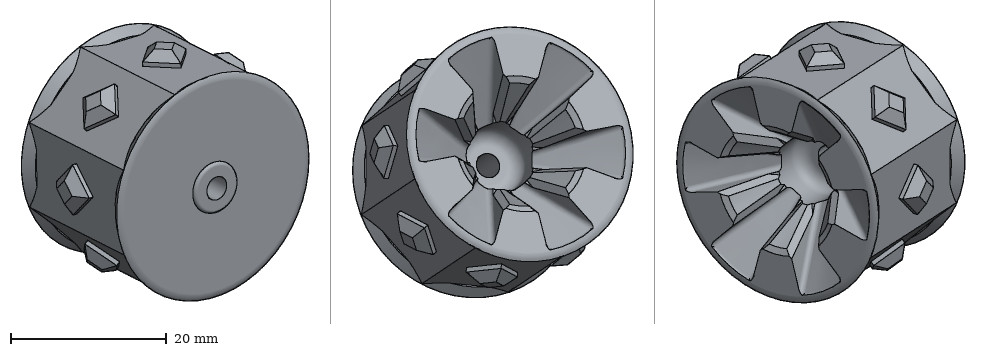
import cadquery as cq
import math

outer_size = 32.52
total_length = 21.53
boss_height = 0.5
body_length = total_length - boss_height

side_count = 8
tread_apothem = 14.28
tread_turn = 0.5
tread_corner_radius = tread_apothem / math.cos(math.pi / side_count)

stud_half_diagonal = 3.5
stud_top_half_diagonal = 1.63
stud_wall_radius = 14.9
stud_root_depth = 0.33
turn = math.radians(tread_turn)
stud_top_radius = (outer_size / 2 - stud_top_half_diagonal * math.sin(turn)) / math.cos(turn)

rim_radius = 15.5
rim_face_radius = 14.55
rim_lip_depth = 0.35
flare_inner_radius = 14.5
flare_depth = 2.0

cup_radius = 9.0 / 2
cup_floor_radius = 2.65
cup_fillet = cup_radius - cup_floor_radius
cup_depth = 12.35
bore_diameter = 3.2
boss_radius = 3.5

spoke_count = 6
sector_angle = 180.0 / spoke_count
pocket_outer_radius = 14.37
pocket_wall_depth = 0.1
pocket_cup_depth = 8.15
pocket_fillet = 0.65
pocket_slope = (pocket_cup_depth - pocket_wall_depth) / (pocket_outer_radius - cup_radius)

spoke_front_radius = 8.42
spoke_cup_depth = 6.75
spoke_front_chamfer = 0.55
spoke_side_chamfer = 0.78
spoke_slope = spoke_cup_depth / (spoke_front_radius - cup_radius)

cut_overlap = 0.98


def turned(shape, degrees):
    return shape.rotate((0, 0, 0), (1, 0, 0), degrees)


def around_axis(shape, count):
    """Copies of a shape evenly spaced about the X axis."""
    return [turned(shape, i * 360.0 / count) for i in range(count)]


def sector(points):
    """Revolve (x, radius) points about X through one sector centred on +Y."""
    profile = cq.Workplane("XY").polyline(points).close()
    wedge = profile.revolve(sector_angle, (0, 0, 0), (1, 0, 0))
    return turned(wedge, -sector_angle / 2)


def make_tread():
    prism = (
        cq.Workplane("YZ", origin=(rim_lip_depth, 0, 0))
        .polygon(side_count, 2 * tread_corner_radius)
        .extrude(body_length - 2 * rim_lip_depth)
    )
    return turned(prism, 180.0 / side_count + tread_turn)


def make_rim():
    """Flared rim of the open face; its lip curves smoothly out of the flat face."""
    return (
        cq.Workplane("XY")
        .lineTo(0, rim_face_radius)
        .tangentArcPoint((rim_lip_depth, rim_radius), relative=False)
        .lineTo(flare_depth, flare_inner_radius)
        .lineTo(flare_depth, 0)
        .close()
        .revolve(360, (0, 0, 0), (1, 0, 0))
    )


def make_stud():
    base_side = stud_half_diagonal * math.sqrt(2)
    top_side = stud_top_half_diagonal * math.sqrt(2)
    root_radius = tread_apothem - stud_root_depth
    diamond = cq.Workplane("XY", origin=(body_length / 2, 0, 0)).transformed(rotate=(0, 0, 45))
    wall = (
        diamond.workplane(offset=root_radius)
        .rect(base_side, base_side)
        .extrude(stud_wall_radius - root_radius)
    )
    cap = (
        diamond.workplane(offset=stud_wall_radius)
        .rect(base_side, base_side)
        .workplane(offset=stud_top_radius - stud_wall_radius)
        .rect(top_side, top_side)
        .loft(ruled=True)
    )
    return turned(wall.union(cap), tread_turn)


def make_pocket():
    """Cutting shape of one pocket, filleted where its cone meets the walls."""
    inner_radius = cup_radius - cut_overlap
    inner_depth = pocket_cup_depth + cut_overlap * pocket_slope
    pocket = sector([
        (-cut_overlap, inner_radius),
        (inner_depth, inner_radius),
        (pocket_wall_depth, pocket_outer_radius),
        (-cut_overlap, pocket_outer_radius),
    ])
    cone_edges = pocket.faces("%CONE").edges("not >X").vals()
    return pocket.newObject(cone_edges).fillet(pocket_fillet)


def make_spoke():
    """Solid wedge of one spoke, chamfered around its conical inner face."""
    inner_radius = cup_radius - cut_overlap
    outer_radius = pocket_outer_radius + cut_overlap
    spoke = sector([
        (0, spoke_front_radius),
        (spoke_cup_depth + cut_overlap * spoke_slope, inner_radius),
        (cup_depth, inner_radius),
        (cup_depth, outer_radius),
        (0, outer_radius),
    ])
    spoke = spoke.faces("%CONE").edges("not %CIRCLE").chamfer(spoke_side_chamfer)
    return spoke.faces("%CONE").edges("<X").chamfer(spoke_front_chamfer)


def make_spoke_gap():
    """Cutting shape for the space inside one spoke, with a floor level with the pocket fillets."""
    inner_radius = cup_radius - cut_overlap
    floor_rise = pocket_fillet * math.hypot(1, pocket_slope)
    floor_cup_depth = pocket_cup_depth - floor_rise
    floor_front_radius = cup_radius + floor_cup_depth / pocket_slope
    room = sector([
        (0, inner_radius),
        (floor_cup_depth + cut_overlap * pocket_slope, inner_radius),
        (0, floor_front_radius),
    ])
    return room.cut(make_spoke())


def make_cup():
    cup = cq.Workplane("YZ").circle(cup_radius).extrude(cup_depth)
    return cup.faces(">X").edges().fillet(cup_fillet)


def make_boss():
    """Round boss on the closed end, starting inside the hub and rounded over its full height."""
    boss = cq.Workplane("YZ", origin=(cup_depth, 0, 0)).circle(boss_radius)
    boss = boss.extrude(total_length - cup_depth)
    return boss.faces(">X").edges().fillet(boss_height)


front_rim = make_rim()
back_rim = front_rim.mirror("YZ").translate((body_length, 0, 0))
result = make_tread().union(front_rim).union(back_rim).union(make_boss())
for stud in around_axis(make_stud(), side_count):
    result = result.union(stud)

for pocket in around_axis(make_pocket(), spoke_count):
    result = result.cut(pocket)
for gap in around_axis(turned(make_spoke_gap(), sector_angle), spoke_count):
    result = result.cut(gap)

bore = cq.Workplane("YZ").circle(bore_diameter / 2).extrude(total_length)
result = result.cut(make_cup()).cut(bore)